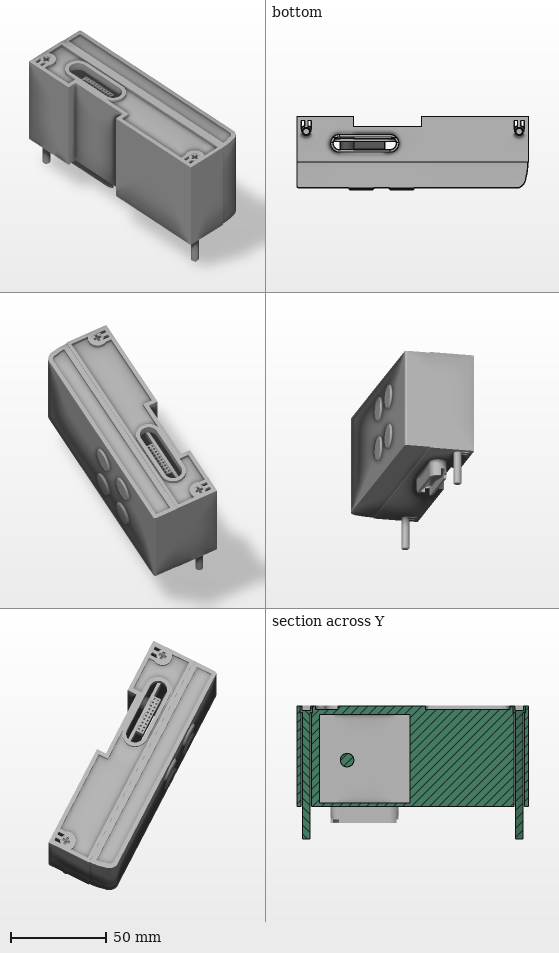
import cadquery as cq
import math

HOUSING_LENGTH = 121.6
HOUSING_DEPTH = 23.8
HOUSING_HEIGHT = 52.8
FRONT_EDGE_RADIUS = 0.4

NOTCH_LEFT = 29.8
NOTCH_RIGHT = 65.3
NOTCH_DEPTH = 5.2

RECESS_DEPTH = 1.8
SIDE_RIM = 2.1
BACK_RIM = 1.8
FRONT_RIM = 2.2
NOTCH_RIM = 2.2

OPENING_X = 35.6
OPENING_Y = 14.1
OPENING_LENGTH = 36.0
OPENING_WIDTH = 9.5
COLLAR_WALL = 2.1
PLUG_CLEARANCE = 0.1
PLUG_LENGTH = OPENING_LENGTH - 2 * PLUG_CLEARANCE
PLUG_WIDTH = OPENING_WIDTH - 2 * PLUG_CLEARANCE
PLUG_WALL = 1.3
PLUG_DROP = 8.8
PLUG_SLOT_WIDTH = 2.5
PLUG_SLOT_Y = 12.3
PLUG_SLOT_DEPTH = 4.0
KEY_STEP = 1.8

LID_THICKNESS = 4.6
FLOOR_THICKNESS = 2.1
CHAMBER_END_MARGIN = 5.5
CHAMBER_SIDE_MARGIN = 2.1
CHAMBER_LENGTH = OPENING_LENGTH + 2 * CHAMBER_END_MARGIN
CHAMBER_WIDTH = OPENING_WIDTH + 2 * CHAMBER_SIDE_MARGIN
CHAMBER_HEIGHT = HOUSING_HEIGHT - LID_THICKNESS - FLOOR_THICKNESS
CROSSBAR_RADIUS = 3.6
CROSSBAR_X = 26.4
CROSSBAR_Z = 24.3

SCREW_INSET = 5.0
SCREW_Y = 7.9
SCREW_XS = (SCREW_INSET, HOUSING_LENGTH - SCREW_INSET)
HEAD_RADIUS = 3.2
HEAD_HEIGHT = 3.6
HEAD_DISH_RADIUS = 2.5
HEAD_DISH_DEPTH = 0.2
SHANK_RADIUS = 2.1
SHANK_DROP = 17.3
SHANK_CHAMFER = 0.4
CROSS_LENGTH = 4.1
CROSS_WIDTH = 1.5
CROSS_DEPTH = 2.2
PIT_RADIUS = 0.6
PIT_DEPTH = 0.7
BOSS_RADIUS = 5.1
BOSS_HALF_WIDTH = 4.4
SEAT_SLOT_WIDTH = 5.1
SEAT_RIB_WIDTH = 1.8

COVER_LENGTH = 121.2
COVER_BACK = 37.5
COVER_Z_INSET = 0.4
COVER_CORNER_RADIUS = 1.2
COVER_HEIGHT = HOUSING_HEIGHT - 2 * COVER_Z_INSET
COVER_RECESS_DEPTH = 1.5
COVER_RIM = 2.2
COVER_FRONT_RIM = 2.9
COVER_RIGHT_RIM = 2.7
SHOULDER_DX = 1.1
SHOULDER_DY = 5.2
SHOULDER_MID_DX = 2.2
SHOULDER_MID_DY = 2.1
SHOULDER_START_DX = 4.9
FLANK_MID_DX = 0.2
RECESS_SHOULDER_SCALE = 0.7

BUTTON_RADIUS = 6.6
BUTTON_HEIGHT = 1.1
BUTTON_CHAMFER = 0.7
BUTTON_XS = (33.8, 55.0)
BUTTON_ZS = (15.9, 37.8)

BOARD_FRONT = 11.7
BOARD_THICKNESS = 1.6
SOCKET_COLUMNS = 10
SOCKET_ROWS = 2
SOCKET_HOLE = 1.0
SOCKET_HOLE_DEPTH = 2.4
STRIP_LENGTH = 20.9
STRIP_WIDTH = 4.0
SOCKET_PITCH = STRIP_WIDTH / SOCKET_ROWS
STRIP_HEIGHT = 7.3
STRIP_X = 35.8
STRIP_TOP = 47.5


def box_between(x0, x1, y0, y1, z0, z1):
    """Axis-aligned box given by its limits."""
    return cq.Workplane("XY").box(x1 - x0, y1 - y0, z1 - z0, centered=False).translate((x0, y0, z0))


def cylinder(x, y, radius, z0, z1):
    """Upright cylinder from z0 to z1."""
    return cq.Workplane("XY", origin=(x, y, z0)).circle(radius).extrude(z1 - z0)


def stadium(length, width, z0, z1):
    """Upright stadium prism centred on the connector opening."""
    return cq.Workplane("XY", origin=(OPENING_X, OPENING_Y, z0)).slot2D(length, width).extrude(z1 - z0)


def crossbar():
    """Round bar along Y that bridges the connector chamber."""
    start = OPENING_Y - CHAMBER_WIDTH / 2
    plane = cq.Workplane("XZ", origin=(CROSSBAR_X, start, CROSSBAR_Z))
    return plane.circle(CROSSBAR_RADIUS).extrude(-CHAMBER_WIDTH)


def chamber():
    """Box-shaped space between floor and lid."""
    half_length = CHAMBER_LENGTH / 2
    half_width = CHAMBER_WIDTH / 2
    return box_between(
        OPENING_X - half_length, OPENING_X + half_length,
        OPENING_Y - half_width, OPENING_Y + half_width,
        FLOOR_THICKNESS, FLOOR_THICKNESS + CHAMBER_HEIGHT,
    )


def top_recess():
    """Material removed from the top face, leaving rims, collar and screw bosses."""
    floor = HOUSING_HEIGHT - RECESS_DEPTH
    top = HOUSING_HEIGHT
    recess = box_between(
        SIDE_RIM, HOUSING_LENGTH - SIDE_RIM, FRONT_RIM, HOUSING_DEPTH - BACK_RIM, floor, top
    )
    recess = recess.cut(
        box_between(NOTCH_LEFT - NOTCH_RIM, NOTCH_RIGHT + NOTCH_RIM, 0, NOTCH_DEPTH + NOTCH_RIM, floor, top)
    )
    recess = recess.cut(
        stadium(OPENING_LENGTH + 2 * COLLAR_WALL, OPENING_WIDTH + 2 * COLLAR_WALL, floor, top)
    )
    flank_end = SCREW_Y - math.sqrt(BOSS_RADIUS**2 - BOSS_HALF_WIDTH**2)
    for x in SCREW_XS:
        recess = recess.cut(cylinder(x, SCREW_Y, BOSS_RADIUS, floor, top))
        recess = recess.cut(
            box_between(x - BOSS_HALF_WIDTH, x + BOSS_HALF_WIDTH, 0, flank_end, floor, top)
        )
    return recess


def screw_seat(x):
    """Counterbored screw hole with two through slots beside a front rib."""
    head_bottom = HOUSING_HEIGHT - HEAD_HEIGHT
    seat = cylinder(x, SCREW_Y, SHANK_RADIUS, 0, HOUSING_HEIGHT)
    seat = seat.union(cylinder(x, SCREW_Y, HEAD_RADIUS, head_bottom, HOUSING_HEIGHT))
    slots = box_between(
        x - SEAT_SLOT_WIDTH / 2, x + SEAT_SLOT_WIDTH / 2, FRONT_RIM, SCREW_Y, 0, HOUSING_HEIGHT
    )
    rib = box_between(
        x - SEAT_RIB_WIDTH / 2, x + SEAT_RIB_WIDTH / 2, FRONT_RIM, SCREW_Y, 0, HOUSING_HEIGHT
    )
    return seat.union(slots.cut(rib))


def plug():
    """Hollow plug below the housing, slotted at both ends and keyed at two opposite corners."""
    body = stadium(PLUG_LENGTH, PLUG_WIDTH, -PLUG_DROP, 0)
    left = OPENING_X - PLUG_LENGTH / 2
    right = OPENING_X + PLUG_LENGTH / 2
    front = OPENING_Y - PLUG_WIDTH / 2
    back = OPENING_Y + PLUG_WIDTH / 2
    end_radius = PLUG_WIDTH / 2
    slot_front = PLUG_SLOT_Y - PLUG_SLOT_WIDTH / 2
    slot_back = PLUG_SLOT_Y + PLUG_SLOT_WIDTH / 2
    key_top = KEY_STEP - PLUG_DROP
    body = body.cut(
        box_between(left, right, slot_front, slot_back, -PLUG_DROP, PLUG_SLOT_DEPTH - PLUG_DROP)
    )
    body = body.cut(box_between(left, left + end_radius, front, slot_front, -PLUG_DROP, key_top))
    return body.cut(box_between(right - end_radius, right, slot_back, back, -PLUG_DROP, key_top))


def make_housing():
    body = box_between(0, HOUSING_LENGTH, 0, HOUSING_DEPTH, 0, HOUSING_HEIGHT)
    body = body.edges("|Z and <Y").fillet(FRONT_EDGE_RADIUS)
    body = body.cut(box_between(NOTCH_LEFT, NOTCH_RIGHT, 0, NOTCH_DEPTH, 0, HOUSING_HEIGHT))
    body = body.cut(top_recess())
    body = body.union(plug())
    body = body.cut(chamber())
    body = body.cut(stadium(OPENING_LENGTH, OPENING_WIDTH, FLOOR_THICKNESS, HOUSING_HEIGHT))
    bore_length = PLUG_LENGTH - 2 * PLUG_WALL
    bore_width = PLUG_WIDTH - 2 * PLUG_WALL
    body = body.cut(stadium(bore_length, bore_width, -PLUG_DROP, FLOOR_THICKNESS))
    body = body.union(crossbar())
    for x in SCREW_XS:
        body = body.cut(screw_seat(x))
    return body


def cover_profile(left, right, front, back, z, shoulder_scale=1.0):
    """Cover outline with a rounded back right shoulder running into a bowed flank."""
    shoulder_end_y = back - SHOULDER_DY * shoulder_scale
    return (
        cq.Workplane("XY", origin=(0, 0, z))
        .moveTo(left, front)
        .lineTo(left, back)
        .lineTo(right - SHOULDER_START_DX * shoulder_scale, back)
        .threePointArc(
            (
                right - SHOULDER_MID_DX * shoulder_scale,
                back - SHOULDER_MID_DY * shoulder_scale,
            ),
            (right - SHOULDER_DX, shoulder_end_y),
        )
        .threePointArc(
            (right - FLANK_MID_DX, (front + shoulder_end_y) / 2),
            (right, front),
        )
        .close()
    )


def make_cover():
    top = COVER_Z_INSET + COVER_HEIGHT
    body = cover_profile(0, COVER_LENGTH, HOUSING_DEPTH, COVER_BACK, COVER_Z_INSET).extrude(COVER_HEIGHT)
    body = body.edges(cq.NearestToPointSelector((0, COVER_BACK, top / 2))).fillet(COVER_CORNER_RADIUS)
    recess = cover_profile(
        COVER_RIM, COVER_LENGTH - COVER_RIGHT_RIM,
        HOUSING_DEPTH + COVER_FRONT_RIM, COVER_BACK - COVER_RIM,
        top - COVER_RECESS_DEPTH, RECESS_SHOULDER_SCALE,
    ).extrude(COVER_RECESS_DEPTH)
    body = body.cut(recess)
    for x in BUTTON_XS:
        for z in BUTTON_ZS:
            plane = cq.Workplane("XZ", origin=(x, COVER_BACK, z))
            button = plane.circle(BUTTON_RADIUS).extrude(-BUTTON_HEIGHT)
            body = body.union(button.faces(">Y").edges().chamfer(BUTTON_CHAMFER))
    return body


def make_screw(x):
    """Cross-recessed screw whose head is flush with the housing top."""
    top = HOUSING_HEIGHT
    shank = cylinder(x, SCREW_Y, SHANK_RADIUS, -SHANK_DROP, top - HEAD_HEIGHT)
    shank = shank.faces("<Z").chamfer(SHANK_CHAMFER)
    screw = shank.union(cylinder(x, SCREW_Y, HEAD_RADIUS, top - HEAD_HEIGHT, top))
    screw = screw.cut(cylinder(x, SCREW_Y, HEAD_DISH_RADIUS, top - HEAD_DISH_DEPTH, top))
    recess_floor = top - CROSS_DEPTH
    for angle in (0, 90):
        arm = cq.Workplane("XY", origin=(x, SCREW_Y, recess_floor))
        arm = arm.transformed(rotate=(0, 0, angle)).rect(CROSS_LENGTH, CROSS_WIDTH).extrude(CROSS_DEPTH)
        screw = screw.cut(arm)
    pit_centre = cq.Vector(x, SCREW_Y, recess_floor)
    pit = cq.Solid.makeCone(PIT_RADIUS, 0, PIT_DEPTH, pit_centre, cq.Vector(0, 0, -1))
    return screw.cut(cq.Workplane(pit))


def make_board():
    """Upright board with a socket strip on its back, held on the housing crossbar."""
    half_length = CHAMBER_LENGTH / 2
    board_back = BOARD_FRONT + BOARD_THICKNESS
    board = box_between(
        OPENING_X - half_length, OPENING_X + half_length, BOARD_FRONT, board_back,
        FLOOR_THICKNESS, FLOOR_THICKNESS + CHAMBER_HEIGHT,
    )
    board = board.cut(crossbar())
    strip = box_between(
        STRIP_X - STRIP_LENGTH / 2, STRIP_X + STRIP_LENGTH / 2, board_back, board_back + STRIP_WIDTH,
        STRIP_TOP - STRIP_HEIGHT, STRIP_TOP,
    )
    holes = (
        cq.Workplane("XY", origin=(STRIP_X, board_back + STRIP_WIDTH / 2, STRIP_TOP))
        .rarray(SOCKET_PITCH, SOCKET_PITCH, SOCKET_COLUMNS, SOCKET_ROWS)
        .rect(SOCKET_HOLE, SOCKET_HOLE)
        .extrude(-SOCKET_HOLE_DEPTH)
    )
    return board.union(strip.cut(holes))


housing = make_housing()
cover = make_cover()
board = make_board()
screws = [make_screw(x) for x in SCREW_XS]

result = cq.Compound.makeCompound(
    [housing.val(), cover.val(), board.val(), *[screw.val() for screw in screws]]
)